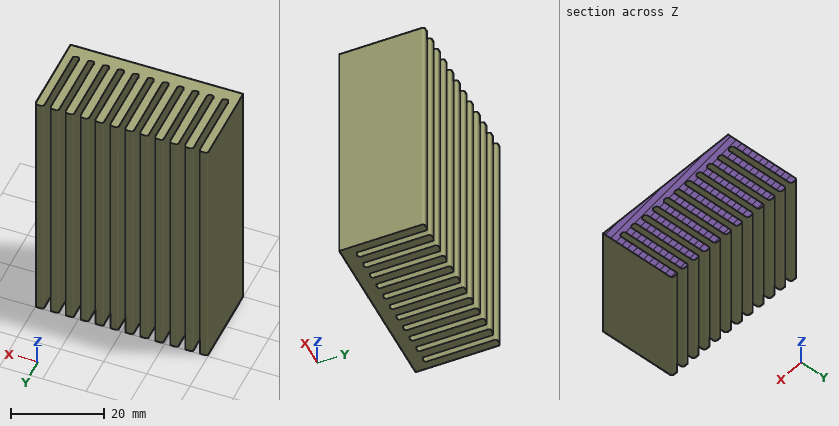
import cadquery as cq

width = 40.0
depth = 20.0
height = 60.0

fin_count = 12
fin_thickness = 2.0
base_thickness = 3.0
tip_radius = 0.6
slot_root_radius = 0.6

fin_pitch = (width - fin_thickness) / (fin_count - 1)
slot_width = fin_pitch - fin_thickness
fin_length = depth - base_thickness


def make_block():
    """Solid block, centred in X, with the base face at Y = 0."""
    return cq.Workplane("XY").box(width, depth, height, centered=(True, False, False))


def make_slot(center_x):
    """Full-height gap between two fins, rounded at its root."""
    return (
        cq.Workplane("XY")
        .center(center_x, base_thickness + fin_length / 2)
        .rect(slot_width, fin_length)
        .extrude(height)
        .edges("|Z and <Y")
        .fillet(slot_root_radius)
    )


result = make_block()
first_slot_x = -width / 2 + fin_thickness + slot_width / 2
for index in range(fin_count - 1):
    result = result.cut(make_slot(first_slot_x + index * fin_pitch))

result = result.faces(">Y").edges("|Z").fillet(tip_radius)